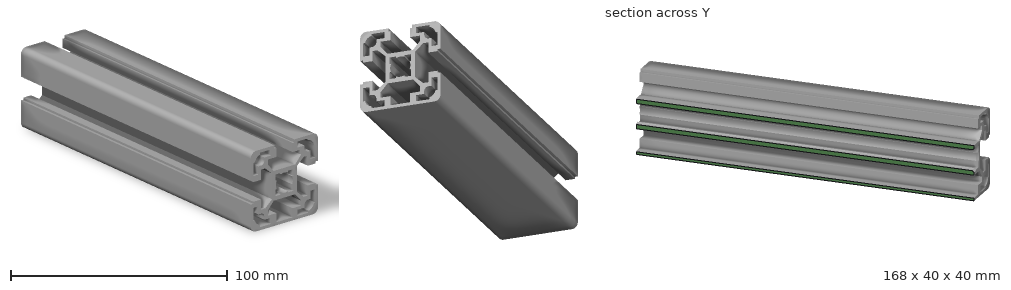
import cadquery as cq
import math

LENGTH = 168.0
SIDE = 40.0
HALF_SIDE = SIDE / 2
CORNER_RADIUS = 3.0
WALL = 1.5
WALL_INNER = HALF_SIDE - WALL

SLOT_HALF_WIDTH = 4.9
RECESS_HALF_WIDTH = 5.9
LIP_BOTTOM = 14.0
CHAMBER_HALF_WIDTH = 9.9
CHAMBER_SHOULDER = 11.5
CHAMBER_FLOOR_HALF_WIDTH = 6.4
HUB_HALF_SIDE = 7.4

POCKET_END = 7.9
POCKET_FLOOR = 15.5
POCKET_CORNER = 12.0
POCKET_FILLET = 2.2
POCKET_SHOULDER = 14.5
POCKET_ARC_CENTRE = 13.6
POCKET_ARC_RADIUS = 4.0

CORE_HALF_SIDE = 5.4
PAD_HALF_WIDTH = 2.0
CORE_RADIUS = 5.0
COUNTERSINK_RADIUS = 6.0
COUNTERSINK_DEPTH = COUNTERSINK_RADIUS - CORE_RADIUS


def section_plane():
    return cq.Workplane("YZ", origin=(-LENGTH / 2, 0, 0))


def turned(shape, angle):
    """Turn a shape about the X axis through the section centre."""
    return shape.rotate((0, 0, 0), (1, 0, 0), angle)


def closed_slot():
    """Slot on the +Z side that stops at the inside of the outer wall."""
    half_outline = [
        (SLOT_HALF_WIDTH, WALL_INNER),
        (SLOT_HALF_WIDTH, LIP_BOTTOM),
        (CHAMBER_HALF_WIDTH, LIP_BOTTOM),
        (CHAMBER_HALF_WIDTH, CHAMBER_SHOULDER),
        (CHAMBER_FLOOR_HALF_WIDTH, HUB_HALF_SIDE),
    ]
    mirrored = [(-y, z) for y, z in reversed(half_outline)]
    return section_plane().polyline(half_outline + mirrored).close().extrude(LENGTH)


def open_slot():
    """Slot on the +Z side with its stepped mouth through the outer wall."""
    mouth = (
        section_plane()
        .center(0, WALL_INNER + WALL / 2)
        .rect(2 * RECESS_HALF_WIDTH, WALL)
        .extrude(LENGTH)
    )
    return closed_slot().union(mouth)


def corner_pocket():
    """L-shaped hollow in the +Y +Z corner, bounded outside by a large arc."""
    arc_mid = POCKET_ARC_CENTRE + POCKET_ARC_RADIUS * math.sqrt(0.5)
    arc_end = POCKET_ARC_CENTRE + math.sqrt(
        POCKET_ARC_RADIUS**2 - (POCKET_SHOULDER - POCKET_ARC_CENTRE) ** 2
    )
    fillet_end = POCKET_CORNER + POCKET_FILLET
    return (
        section_plane()
        .moveTo(POCKET_END, WALL_INNER)
        .lineTo(POCKET_SHOULDER, WALL_INNER)
        .lineTo(POCKET_SHOULDER, arc_end)
        .threePointArc((arc_mid, arc_mid), (arc_end, POCKET_SHOULDER))
        .lineTo(WALL_INNER, POCKET_SHOULDER)
        .lineTo(WALL_INNER, POCKET_END)
        .lineTo(POCKET_FLOOR, POCKET_END)
        .lineTo(POCKET_FLOOR, POCKET_CORNER)
        .lineTo(fillet_end, POCKET_CORNER)
        .radiusArc((POCKET_CORNER, fillet_end), POCKET_FILLET)
        .lineTo(POCKET_CORNER, POCKET_FLOOR)
        .lineTo(POCKET_END, POCKET_FLOOR)
        .close()
        .extrude(LENGTH)
    )


def core_hole():
    """Square hole narrowed by a round-faced pad on each side, countersunk at the -X end."""
    square = section_plane().rect(2 * CORE_HALF_SIDE, 2 * CORE_HALF_SIDE).extrude(LENGTH)
    pads = (
        section_plane()
        .rect(2 * PAD_HALF_WIDTH, 2 * CORE_HALF_SIDE)
        .extrude(LENGTH)
        .union(section_plane().rect(2 * CORE_HALF_SIDE, 2 * PAD_HALF_WIDTH).extrude(LENGTH))
        .cut(section_plane().circle(CORE_RADIUS).extrude(LENGTH))
    )
    countersink = cq.Workplane(
        cq.Solid.makeCone(
            COUNTERSINK_RADIUS,
            CORE_RADIUS,
            COUNTERSINK_DEPTH,
            pnt=cq.Vector(-LENGTH / 2, 0, 0),
            dir=cq.Vector(1, 0, 0),
        )
    )
    return square.cut(pads).union(countersink)


result = section_plane().rect(SIDE, SIDE).extrude(LENGTH).edges("|X").fillet(CORNER_RADIUS)
for slot_angle in (0, 90, -90):
    result = result.cut(turned(open_slot(), slot_angle))
result = result.cut(turned(closed_slot(), 180))
for pocket_angle in (0, 90, 180, 270):
    result = result.cut(turned(corner_pocket(), pocket_angle))
result = result.cut(core_hole())